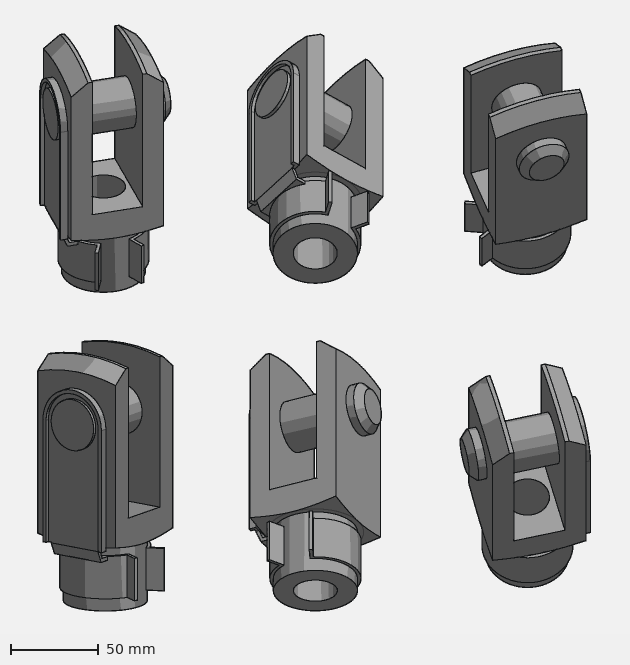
import cadquery as cq
import math

fork_width = 55.0
fork_bottom = 38.0
fork_top = 148.0
slot_width = 30.0
slot_floor = 56.0
half_fork = fork_width / 2

dome_radius = fork_top - fork_bottom
dome_bevel_depth = 10.0
dome_bevel_drop = 7.5

corner_cone_angle = 15.0

neck_diameter = 48.0
bore_diameter = 25.0

collar_diameter = 52.0
collar_bottom = 7.75
collar_top = 32.75
tab_angle = 25.0
tab_thickness = 2.0
tab_reach = 32.13

pin_diameter = 30.0
pin_height = 110.0
pin_overhang = 9.45
pin_chamfer = 4.5

sheet_thickness = 2.25
plate_rise = 4.3
plate_radius = 20.65
plate_front = -half_fork - plate_rise
plate_floor = plate_front + sheet_thickness
pin_setback = 0.25
pin_front = plate_front + pin_setback

strip_width = 33.0
strip_bend_top = -25.3
strip_bend_bottom = -26.4
strip_drop = 0.4
strip_end_y = -19.0


def cylinder_z(diameter, bottom, top):
    return cq.Workplane("XY").workplane(offset=bottom).circle(diameter / 2).extrude(top - bottom)


def make_dome():
    """Bevelled disc about the Y axis whose upper part shapes the fork top."""
    bevel_start = half_fork - dome_bevel_depth
    edge_radius = dome_radius - dome_bevel_drop
    profile = [
        (0, -half_fork),
        (edge_radius, -half_fork),
        (dome_radius, -bevel_start),
        (dome_radius, bevel_start),
        (edge_radius, half_fork),
        (0, half_fork),
    ]
    disc = cq.Workplane("XY").polyline(profile).close().revolve(360, (0, 0, 0), (0, 1, 0))
    return disc.translate((0, 0, fork_bottom))


def make_corner_cone():
    """Turned envelope, flat below the fork and rising outwards to its corners."""
    outer_radius = fork_width
    rise = (outer_radius - half_fork) * math.tan(math.radians(corner_cone_angle))
    profile = [
        (0, fork_bottom),
        (half_fork, fork_bottom),
        (outer_radius, fork_bottom + rise),
        (outer_radius, fork_top),
        (0, fork_top),
    ]
    return cq.Workplane("XZ").polyline(profile).close().revolve(360, (0, 0, 0), (0, 1, 0))


def make_fork():
    height = fork_top - fork_bottom
    block = cq.Workplane("XY").box(fork_width, fork_width, height, centered=(True, True, False))
    block = block.translate((0, 0, fork_bottom))
    block = block.intersect(make_dome()).intersect(make_corner_cone())
    slot = cq.Workplane("XY").box(fork_width, slot_width, height, centered=(True, True, False))
    block = block.cut(slot.translate((0, 0, slot_floor)))
    neck = cylinder_z(neck_diameter, 0, fork_bottom)
    bore = cylinder_z(bore_diameter, 0, slot_floor)
    return block.union(neck).cut(bore)


def make_collar():
    """Ring opened between its two tabs, which point radially outwards."""
    height = collar_top - collar_bottom
    angle = math.radians(tab_angle)
    ring = cylinder_z(collar_diameter, collar_bottom, collar_top)
    ring = ring.cut(cylinder_z(neck_diameter, collar_bottom, collar_top))
    gap_length = collar_diameter
    gap_half_width = gap_length * math.tan(angle)
    gap = (
        cq.Workplane("XY")
        .workplane(offset=collar_bottom)
        .polyline([(0, 0), (gap_length, gap_half_width), (gap_length, -gap_half_width)])
        .close()
        .extrude(height)
    )
    tab_end = (tab_reach - tab_thickness * math.sin(angle)) / math.cos(angle)
    tab_start = neck_diameter / 2 - tab_thickness / 2
    tab = cq.Workplane("XY").box(tab_end - tab_start, tab_thickness, height, centered=False)
    tab = tab.translate((tab_start, -tab_thickness, collar_bottom))
    tab = tab.rotate((0, 0, 0), (0, 0, 1), tab_angle)
    return ring.cut(gap).union(tab).union(tab.mirror("XZ"))


def make_pin():
    pin_end = half_fork + pin_overhang
    pin = cq.Workplane("XZ", origin=(0, pin_front, pin_height)).circle(pin_diameter / 2)
    pin = pin.extrude(-(pin_end - pin_front))
    return pin.faces(">Y").chamfer(pin_chamfer)


def arched_plate(radius, front, back):
    """Upright plate with a round top about the pin axis and a straight foot."""
    foot = fork_bottom - pin_height
    return (
        cq.Workplane("XZ", origin=(0, front, pin_height))
        .moveTo(-radius, foot)
        .lineTo(-radius, 0)
        .threePointArc((0, radius), (radius, 0))
        .lineTo(radius, foot)
        .close()
        .extrude(-(back - front))
    )


def make_plate():
    plate = arched_plate(plate_radius, plate_front, -half_fork)
    recess = arched_plate(plate_radius - sheet_thickness, plate_front, plate_floor)
    return plate.cut(recess)


def make_strip():
    strip_bottom = collar_top - sheet_thickness
    profile = [
        (plate_floor, fork_bottom),
        (plate_floor, fork_bottom - strip_drop),
        (strip_bend_bottom, strip_bottom),
        (strip_end_y, strip_bottom),
        (strip_end_y, collar_top),
        (strip_bend_top, collar_top),
        (-half_fork, fork_bottom),
    ]
    strip = cq.Workplane("YZ").polyline(profile).close()
    return strip.extrude(strip_width / 2, both=True)


result = make_fork().union(make_collar()).union(make_pin()).union(make_plate()).union(make_strip())